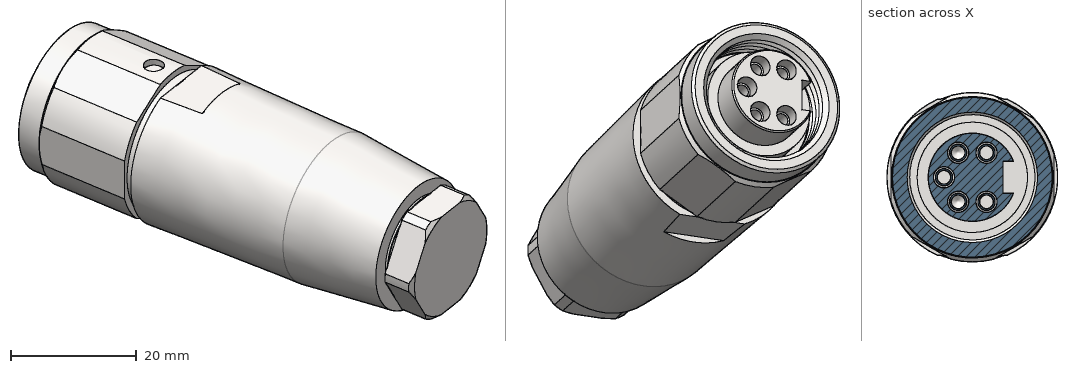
import cadquery as cq
import math

length = 79.0
insert_base_x = 6.2
collar_front_x = 3.0
nut_front_x = 7.4
nut_rear_x = 24.3
body_front_x = 26.0
body_flat_end_x = 33.9
body_ridge_x = 55.45
body_rear_x = 72.45
gland_front_x = 73.7

insert_diameter = 14.1
insert_edge_chamfer = 0.2
insert_base_diameter = 17.5
key_slot_width = 5.05
key_slot_floor = 4.9
contact_circle_radius = 4.5
contact_hole_diameter = 3.3
contact_hole_depth = 6.3
contact_outer_diameter = 2.8
contact_bore_diameter = 2.1
contact_recess = 2.1
contact_angles = [0, 60, 120, 240, 300]
pointed_bore_angles = [60, 300]
drill_point_length = 0.8

collar_diameter = 25.4
collar_face_diameter = 24.4
collar_chamfer_length = 0.3
nut_corner_diameter = 26.9
nut_across_flats = 25.9
nut_chamfer = 0.6
neck_diameter = 24.6
socket_depth = 7.1
thread_minor_diameter = 19.9
thread_major_diameter = 21.5
thread_pitch = 1.4
marker_hole_x = 20.7
marker_hole_diameter = 3.3
marker_hole_depth = 1.2

body_front_diameter = 27.2
body_ridge_diameter = 25.9
body_rear_diameter = 22.5
body_across_flats = 24.8

gland_corner_diameter = 21.0
gland_across_flats = 18.95
gland_chamfer_length = 0.6
gland_chamfer_depth = 0.7
gland_thread_root_diameter = 17.4
gland_thread_crest_diameter = 18.3
gland_thread_lead = 0.4


def cylinder(start_x, end_x, diameter):
    """Solid cylinder on the X axis between two stations."""
    return cq.Workplane("YZ", origin=(start_x, 0, 0)).circle(diameter / 2).extrude(end_x - start_x)


def revolve_about_x(outline):
    """Solid of revolution about X from a closed outline of (x, radius) points."""
    return cq.Workplane("XY").polyline(outline).close().revolve(360, (0, 0, 0), (1, 0, 0))


def hexagon(start_x, end_x, across_flats, first_corner):
    """Hexagonal prism along X; first_corner is a corner angle measured from +Y."""
    corner_radius = across_flats / math.sqrt(3)
    corners = []
    for i in range(6):
        angle = math.radians(first_corner + 60 * i)
        corners.append((corner_radius * math.cos(angle), corner_radius * math.sin(angle)))
    return cq.Workplane("YZ", origin=(start_x, 0, 0)).polyline(corners).close().extrude(end_x - start_x)


def make_coupling_nut():
    collar_radius = collar_diameter / 2
    corner_radius = nut_corner_diameter / 2
    collar = revolve_about_x([
        (collar_front_x, 0),
        (collar_front_x, collar_face_diameter / 2),
        (collar_front_x + collar_chamfer_length, collar_radius),
        (nut_front_x, collar_radius),
        (nut_front_x, 0),
    ])
    envelope = revolve_about_x([
        (nut_front_x, 0),
        (nut_front_x, corner_radius - nut_chamfer),
        (nut_front_x + nut_chamfer, corner_radius),
        (nut_rear_x, corner_radius),
        (nut_rear_x, 0),
    ])
    grip = envelope.intersect(hexagon(nut_front_x, nut_rear_x, nut_across_flats, 30))
    marker_hole = (
        cq.Workplane("XY", origin=(marker_hole_x, 0, corner_radius - marker_hole_depth))
        .circle(marker_hole_diameter / 2)
        .extrude(2 * marker_hole_depth)
    )
    return collar.union(grip).cut(marker_hole)


def make_socket():
    """Threaded cavity around the insert, with the thread as a row of V grooves."""
    minor = thread_minor_diameter / 2
    major = thread_major_diameter / 2
    lead_in = major - minor
    end_x = collar_front_x + socket_depth
    outline = [
        (collar_front_x, 0),
        (collar_front_x, major),
        (collar_front_x + lead_in, minor),
    ]
    groove_x = collar_front_x + lead_in
    while groove_x + thread_pitch < end_x:
        outline.append((groove_x + thread_pitch / 2, major))
        outline.append((groove_x + thread_pitch, minor))
        groove_x += thread_pitch
    outline += [(end_x, minor), (end_x, 0)]
    return revolve_about_x(outline)


def make_insert():
    base = cylinder(insert_base_x, body_front_x, insert_base_diameter)
    plug = cylinder(0, insert_base_x, insert_diameter).faces("<X").chamfer(insert_edge_chamfer)
    slot_depth = insert_diameter / 2 - key_slot_floor
    key_slot = cq.Workplane("XY").box(
        insert_base_x, slot_depth, key_slot_width, centered=(False, False, True)
    ).translate((0, -insert_diameter / 2, 0))
    insert = base.union(plug.cut(key_slot))

    drill_point = revolve_about_x([
        (contact_hole_depth, 0),
        (contact_hole_depth, contact_bore_diameter / 2),
        (contact_hole_depth + drill_point_length, 0),
    ])
    for angle in contact_angles:
        y = contact_circle_radius * math.cos(math.radians(angle))
        z = contact_circle_radius * math.sin(math.radians(angle))
        hole = cylinder(0, contact_hole_depth, contact_hole_diameter)
        contact = cylinder(contact_recess, contact_hole_depth, contact_outer_diameter)
        contact = contact.cut(cylinder(contact_recess, contact_hole_depth, contact_bore_diameter))
        cavity = hole.cut(contact)
        if angle in pointed_bore_angles:
            cavity = cavity.union(drill_point)
        insert = insert.cut(cavity.translate((0, y, z)))
    return insert


def make_body():
    shell = revolve_about_x([
        (body_front_x, 0),
        (body_front_x, body_front_diameter / 2),
        (body_ridge_x, body_ridge_diameter / 2),
        (body_rear_x, body_rear_diameter / 2),
        (body_rear_x, 0),
    ])
    flat_length = body_flat_end_x - body_front_x
    front_blank = cylinder(body_front_x, body_flat_end_x, 2 * body_front_diameter)
    flat_slab = cq.Workplane("XY").box(
        flat_length, 4 * body_front_diameter, body_across_flats, centered=(False, True, True)
    ).translate((body_front_x, 0, 0))
    return shell.cut(front_blank.cut(flat_slab))


def make_gland():
    root = gland_thread_root_diameter / 2
    crest = gland_thread_crest_diameter / 2
    corner_radius = gland_corner_diameter / 2
    thread = revolve_about_x([
        (body_rear_x, 0),
        (body_rear_x, root),
        (body_rear_x + gland_thread_lead, root),
        (body_rear_x + 2 * gland_thread_lead, crest),
        (gland_front_x, crest),
        (gland_front_x, 0),
    ])
    envelope = revolve_about_x([
        (gland_front_x, 0),
        (gland_front_x, corner_radius),
        (length - gland_chamfer_length, corner_radius),
        (length, corner_radius - gland_chamfer_depth),
        (length, 0),
    ])
    return thread.union(envelope.intersect(hexagon(gland_front_x, length, gland_across_flats, 0)))


neck = cylinder(nut_rear_x, body_front_x, neck_diameter)
result = (
    make_coupling_nut()
    .cut(make_socket())
    .union(neck)
    .union(make_insert())
    .union(make_body())
    .union(make_gland())
)